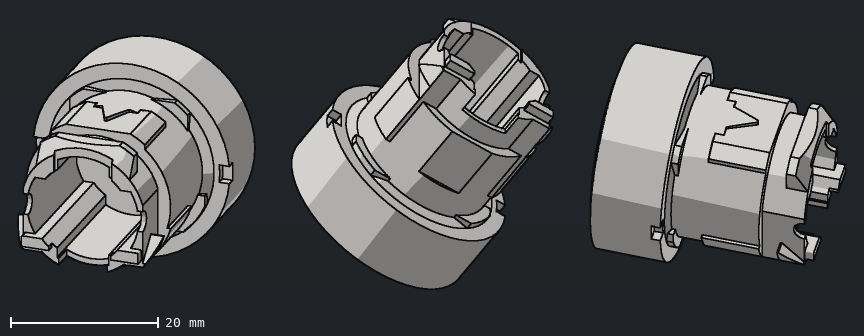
import cadquery as cq
import math


head_radius = 14.25
head_height = 9.82
cap_rim_radius = 13.63
cap_shoulder_radius = 12.7
cap_face_radius = 11.68
cap_shoulder_height = 10.0
cap_height = 10.5

notch_inner_radius = 12.78
notch_half_width = 1.28
notch_height = 1.25

seat_radius = 12.0
seat_depth = 0.52
barrel_radius = 10.5
key_start_depth = 4.8
barrel_end_depth = 12.85
key_radius = 11.0
flat_height = 9.97
top_key_half_width = 6.77
low_key_top = -3.17
low_key_bottom = -6.77

tab_depth = 1.0
top_tab_half_width = 8.55
low_tab_half_width = 11.0
low_tab_bottom = -9.0

arrow_base_half_width = 3.17
arrow_base_depth = key_start_depth + 1.22
arrow_half_width = 1.95
arrow_tip_half_width = 0.15
arrow_tip_depth = 9.95

neck_radius = 9.0
neck_half_width = 8.65
neck_end_depth = 18.75
neck_corner_top = math.sqrt(neck_radius**2 - neck_half_width**2)
low_gap_half_width = 3.5
low_gap_depth = 15.62
side_cutout_radius = 1.5

top_hook_depth = 15.75
top_hook_taper_depth = 17.02
top_relief_half_width = 4.18
top_relief_depth = 18.42
side_hook_depth = 15.4
side_hook_land = 0.18
side_hook_end_height = -6.15

bore_radius = 6.85
bore_arm_radius = 8.08
bore_upright_half_width = 3.72
bore_cross_half_height = 4.18
bore_cross_half_width = 7.9

pin_end_depth = 20.0
pin_inner_x = 4.48
pin_outer_x = 8.45
pin_bottom = -5.75
pin_edge_radius = 0.25


def at_depth(depth):
    """Sketch plane across the axis; extruding from it goes towards -Y."""
    return cq.Workplane("XZ", origin=(0, -depth, 0))


def disc(radius, start, end):
    return at_depth(start).circle(radius).extrude(end - start)


def block(half_width, bottom, top, start, end):
    """Block centred on X between two heights and two depths."""
    size = (2 * half_width, end - start, top - bottom)
    return cq.Workplane("XY").box(*size).translate((0, -(start + end) / 2, (bottom + top) / 2))


def segment(radius, half_width, bottom, top, start, end):
    """Disc trimmed to a block."""
    return disc(radius, start, end).intersect(block(half_width, bottom, top, start, end))


def turned_body():
    profile = [
        (0, cap_height),
        (cap_face_radius, cap_height),
        (cap_shoulder_radius, cap_shoulder_height),
        (cap_rim_radius, head_height),
        (head_radius, head_height),
        (head_radius, 0),
        (seat_radius, 0),
        (barrel_radius, -seat_depth),
        (barrel_radius, -key_start_depth),
        (0, -key_start_depth),
    ]
    return cq.Workplane("XY").polyline(profile).close().revolve(360, (0, 0, 0), (0, 1, 0))


def rim_notches():
    span = (-notch_height, 0)
    ring = disc(head_radius, *span).cut(disc(notch_inner_radius, *span))
    band = block(head_radius, -notch_half_width, notch_half_width, *span)
    return ring.intersect(band)


def mounting_tabs():
    top = segment(seat_radius, top_tab_half_width, 0, flat_height, 0, tab_depth)
    low = segment(seat_radius, low_tab_half_width, low_tab_bottom, low_key_top, 0, tab_depth)
    return top.union(low)


def keyed_barrel():
    span = (key_start_depth, barrel_end_depth)
    barrel = segment(barrel_radius, barrel_radius, -flat_height, flat_height, *span)
    top_key = segment(key_radius, top_key_half_width, 0, flat_height, *span)
    low_keys = segment(key_radius, key_radius, low_key_bottom, low_key_top, *span)
    return barrel.union(top_key).union(low_keys)


def arrow():
    right_side = [
        (arrow_base_half_width, -key_start_depth),
        (arrow_base_half_width, -arrow_base_depth),
        (arrow_half_width, -arrow_base_depth),
        (arrow_tip_half_width, -arrow_tip_depth),
    ]
    left_side = [(-x, y) for x, y in reversed(right_side)]
    outline = cq.Workplane("XY").polyline(right_side + left_side).close().extrude(head_radius)
    return outline.intersect(disc(barrel_radius, key_start_depth, arrow_tip_depth))


def neck():
    span = (barrel_end_depth, neck_end_depth)
    tube = segment(neck_radius, neck_half_width, -neck_radius, neck_radius, *span)
    corners = block(neck_half_width, low_key_bottom, neck_corner_top, *span)
    low_gap = block(low_gap_half_width, -head_radius, 0, low_gap_depth, neck_end_depth)
    return tube.union(corners).cut(low_gap)


def top_hook():
    """Hook with a tapered nose that runs down to the neck."""
    profile = [
        (0, -top_hook_depth),
        (key_radius, -top_hook_depth),
        (key_radius, -top_hook_taper_depth),
        (neck_radius, -neck_end_depth),
        (0, -neck_end_depth),
    ]
    nose = cq.Workplane("XY").polyline(profile).close().revolve(360, (0, 0, 0), (0, 1, 0))
    return nose.intersect(
        block(top_key_half_width, 0, flat_height, top_hook_depth, neck_end_depth)
    )


def side_hooks():
    """Hooks beside the lower corners of the neck, whose upper face slopes after a short land."""
    side = [
        (-side_hook_depth, low_key_top),
        (-side_hook_depth - side_hook_land, low_key_top),
        (-neck_end_depth, side_hook_end_height),
        (-neck_end_depth, low_key_bottom),
        (-side_hook_depth, low_key_bottom),
    ]
    wedge = cq.Workplane("YZ").polyline(side).close().extrude(key_radius, both=True)
    inner = block(neck_half_width, low_key_bottom, low_key_top, side_hook_depth, neck_end_depth)
    return wedge.intersect(disc(key_radius, side_hook_depth, neck_end_depth)).cut(inner)


def end_pins():
    """Pins on the end of the neck, level with the shelves below the bore cross arm."""
    span = (neck_end_depth, pin_end_depth)
    width = pin_outer_x - pin_inner_x
    height = -bore_cross_half_height - pin_bottom
    pin = (
        cq.Workplane("XY")
        .box(width, pin_end_depth - neck_end_depth, height)
        .edges(">X and >Z")
        .fillet(pin_edge_radius)
        .translate((
            (pin_inner_x + pin_outer_x) / 2,
            -sum(span) / 2,
            (pin_bottom - bore_cross_half_height) / 2,
        ))
    )
    return pin.union(pin.mirror("YZ"))


def bore():
    span = (0, pin_end_depth)
    upright = segment(
        bore_arm_radius, bore_upright_half_width, -bore_arm_radius, bore_arm_radius, *span
    )
    cross = segment(
        bore_arm_radius, bore_cross_half_width, -bore_cross_half_height, bore_cross_half_height, *span
    )
    return disc(bore_radius, *span).union(upright).union(cross)


def neck_end_cutouts():
    """Relief in the top of the neck end and a round cut-out across both side walls."""
    relief = block(top_relief_half_width, 0, key_radius, top_relief_depth, neck_end_depth)
    side_cutout = (
        cq.Workplane("YZ")
        .center(-neck_end_depth, 0)
        .circle(side_cutout_radius)
        .extrude(neck_half_width, both=True)
    )
    return relief.union(side_cutout)


result = (
    turned_body()
    .cut(rim_notches())
    .union(mounting_tabs())
    .union(keyed_barrel())
    .union(arrow())
    .union(neck())
    .union(top_hook())
    .union(side_hooks())
    .union(end_pins())
    .cut(neck_end_cutouts())
    .cut(bore())
)